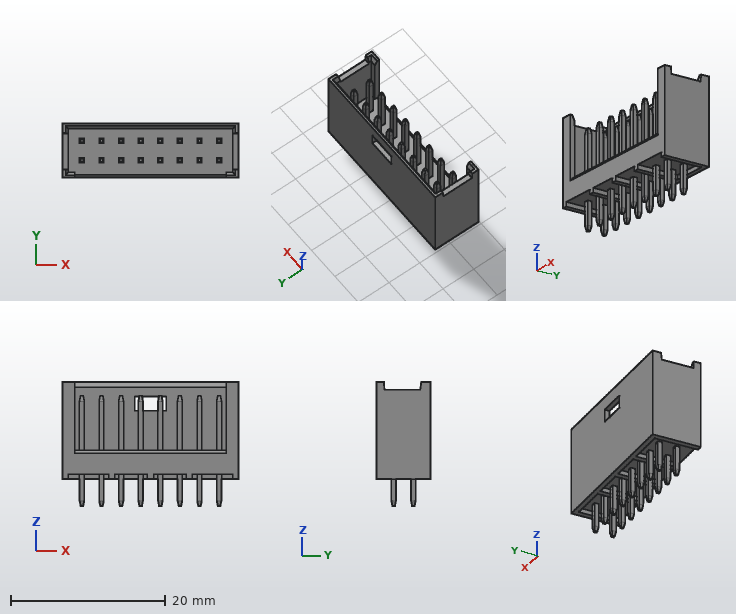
import cadquery as cq

length = 22.86
depth = 7.05
height = 12.6
end_wall = 0.79
long_wall = 0.72
floor_top = 3.76

bevel_run = 0.37
bevel_drop = 0.72

post_width = 1.62
sill_run = 0.37
sill_rise = 0.44

slot_width = 4.05
slot_height = 1.8
slot_bottom = 8.89

notch_depth = 1.0
notch_rear_offset = 1.24
notch_front_offset = 1.0
notch_rear_slope = 0.13
notch_front_slope = 0.07

recess_height = 0.65
rib_width = 0.8
rib_pitch = 5.0
rib_count = 3

pitch = 2.54
pins_per_row = 8
row_count = 2
pin_size = 0.635
pin_tip_size = 0.34
pin_top = 10.83
pin_bottom = -3.5
top_tip_length = 0.77
bottom_tip_length = 0.72

front = -depth / 2
rear = depth / 2


def box(x_start, x_end, y_start, y_end, z_start, z_end):
    """Block spanning the given limits."""
    size = (x_end - x_start, y_end - y_start, z_end - z_start)
    return cq.Workplane("XY").box(*size, centered=False).translate((x_start, y_start, z_start))


def extrude_along_x(points, width):
    """Prism with a YZ outline, centred on X = 0."""
    return cq.Workplane("YZ").polyline(points).close().extrude(width / 2, both=True)


def cavity():
    """Open-topped cavity with a bevelled mouth."""
    inner_length = length - 2 * end_wall
    inner_depth = depth - 2 * long_wall
    well = box(-inner_length / 2, inner_length / 2, -inner_depth / 2, inner_depth / 2, floor_top, height)
    mouth = (
        cq.Workplane("XY", origin=(0, 0, height - bevel_drop))
        .rect(inner_length, inner_depth)
        .workplane(offset=bevel_drop)
        .rect(inner_length + 2 * bevel_run, inner_depth + 2 * bevel_run)
        .loft()
    )
    return well.union(mouth)


def front_opening():
    """Opening between the front posts, including the bevelled sill."""
    inner_face = front + long_wall
    outline = [
        (front, floor_top - sill_rise),
        (front + sill_run, floor_top),
        (inner_face, floor_top),
        (inner_face, height),
        (front, height),
    ]
    return extrude_along_x(outline, length - 2 * post_width)


def rear_slot():
    """Rectangular slot through the rear wall."""
    return box(-slot_width / 2, slot_width / 2, 0, rear, slot_bottom, slot_bottom + slot_height)


def end_notches():
    """Notches across both end walls, as one prism over the full length."""
    floor = height - notch_depth
    front_edge = front + notch_front_offset
    rear_edge = rear - notch_rear_offset
    outline = [
        (front_edge, height),
        (front_edge + notch_front_slope, floor),
        (rear_edge - notch_rear_slope, floor),
        (rear_edge, height),
    ]
    return extrude_along_x(outline, length)


def underside_recess():
    """Recess open to the front and below, closed at the rear and ends."""
    half_length = length / 2 - end_wall
    recess = box(-half_length, half_length, front, rear - long_wall, 0, recess_height)
    for index in range(rib_count):
        rib_x = (index - (rib_count - 1) / 2) * rib_pitch
        rib = box(rib_x - rib_width / 2, rib_x + rib_width / 2, front, rear, 0, recess_height)
        recess = recess.cut(rib)
    return recess


def pin_tip(base_z, signed_length):
    """Square taper from the shank to the end face, upward or downward."""
    return (
        cq.Workplane("XY", origin=(0, 0, base_z))
        .rect(pin_size, pin_size)
        .workplane(offset=signed_length)
        .rect(pin_tip_size, pin_tip_size)
        .loft()
    )


def pin():
    """Square contact pin, tapered at both ends."""
    half = pin_size / 2
    shank_top = pin_top - top_tip_length
    shank_bottom = pin_bottom + bottom_tip_length
    shank = box(-half, half, -half, half, shank_bottom, shank_top)
    top_tip = pin_tip(shank_top, top_tip_length)
    bottom_tip = pin_tip(shank_bottom, -bottom_tip_length)
    return shank.union(top_tip).union(bottom_tip)


housing = box(-length / 2, length / 2, front, rear, 0, height)
for opening in (cavity(), front_opening(), rear_slot(), end_notches(), underside_recess()):
    housing = housing.cut(opening)

result = housing
single_pin = pin()
for column in range(pins_per_row):
    pin_x = (column - (pins_per_row - 1) / 2) * pitch
    for row in range(row_count):
        pin_y = (row - (row_count - 1) / 2) * pitch
        result = result.union(single_pin.translate((pin_x, pin_y, 0)))